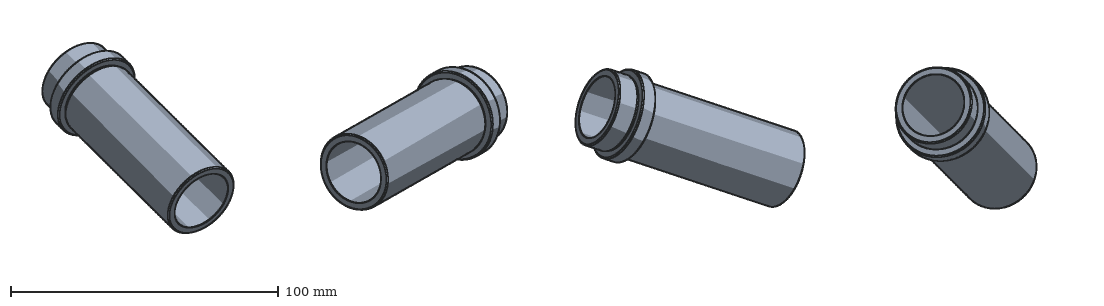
import cadquery as cq
import math

length = 84.0
body_radius = 30.0 / 2
collar_radius = 35.0 / 2
bore_radius = 24.0 / 2

collar_start = 9.0
collar_width = 6.0
collar_end = collar_start + collar_width
collar_chamfer = 0.5

groove_width = 1.0
groove_depth = 0.4
groove_radius = body_radius - groove_depth
front_groove_start = collar_start - groove_width
rear_groove_end = collar_end + groove_width

end_chamfer = 0.5
bore_chamfer = 0.2

groove_arc_radius = (groove_width**2 + groove_depth**2) / (2 * groove_depth)
half_arc_angle = math.asin(groove_width / groove_arc_radius) / 2
arc_middle_offset = groove_arc_radius * math.sin(half_arc_angle)
arc_middle_radius = groove_radius + groove_arc_radius * (1 - math.cos(half_arc_angle))

half_section = (
    cq.Workplane("XY")
    .moveTo(bore_chamfer, bore_radius)
    .lineTo(0, bore_radius + bore_chamfer)
    .lineTo(0, body_radius - end_chamfer)
    .lineTo(end_chamfer, body_radius)
    .lineTo(front_groove_start, body_radius)
    .threePointArc((collar_start - arc_middle_offset, arc_middle_radius), (collar_start, groove_radius))
    .lineTo(collar_start, collar_radius - collar_chamfer)
    .lineTo(collar_start + collar_chamfer, collar_radius)
    .lineTo(collar_end - collar_chamfer, collar_radius)
    .lineTo(collar_end, collar_radius - collar_chamfer)
    .lineTo(collar_end, groove_radius)
    .threePointArc((collar_end + arc_middle_offset, arc_middle_radius), (rear_groove_end, body_radius))
    .lineTo(length - end_chamfer, body_radius)
    .lineTo(length, body_radius - end_chamfer)
    .lineTo(length, bore_radius + bore_chamfer)
    .lineTo(length - bore_chamfer, bore_radius)
    .close()
)

result = half_section.revolve(360, (0, 0, 0), (1, 0, 0))